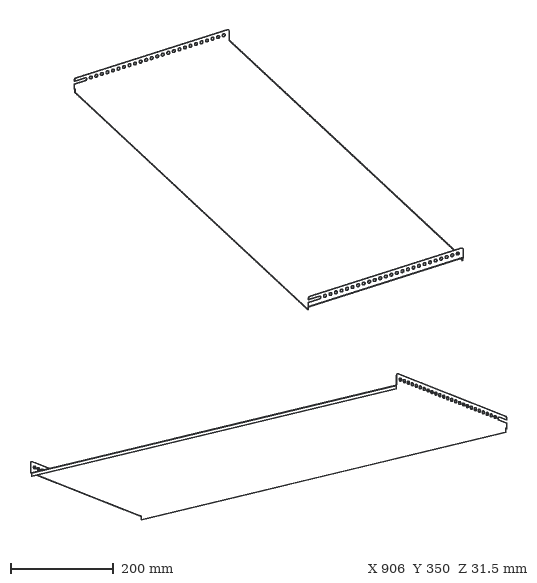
import cadquery as cq

length = 906.0
depth = 350.0
thickness = 1.5

side_bend_radius = 1.0
lip_bend_radius = 0.5
side_outer_radius = side_bend_radius + thickness
lip_outer_radius = lip_bend_radius + thickness

side_flange_height = 25.0
lip_height = 8.0
side_corner_radius = 5.0

sheet_length = length - 2 * side_outer_radius

hole_diameter = 6.5
hole_pitch = 12.5
hole_count = 25
hole_drop = 10.0
first_hole_y = depth / 2 - hole_pitch
slot_end_y = first_hole_y - hole_count * hole_pitch

sheet_top = lip_height
sheet_bottom = sheet_top - thickness
part_top = sheet_bottom + side_flange_height
hole_z = part_top - hole_drop


def box_between(x_range, y_range, z_range):
    """Box spanning the given (low, high) ranges."""
    size = [high - low for low, high in (x_range, y_range, z_range)]
    corner = (x_range[0], y_range[0], z_range[0])
    return cq.Workplane("XY").box(*size, centered=False).translate(corner)


def sheet_with_lips():
    """Flat sheet with the front and rear lips bent down."""
    half_length = sheet_length / 2
    half_depth = depth / 2
    outside = box_between((-half_length, half_length), (-half_depth, half_depth), (0, sheet_top))
    outside = outside.edges("|X and >Z").fillet(lip_outer_radius)
    inner_half = half_depth - thickness
    inside = box_between((-length, length), (-inner_half, inner_half), (-sheet_top, sheet_bottom))
    inside = inside.edges("|X and >Z").fillet(lip_bend_radius)
    return outside.cut(inside)


def side_flange():
    """Right-hand flange bent up from the end of the sheet."""
    bend_start = sheet_length / 2
    outer_face = length / 2
    inner_face = outer_face - thickness
    half_depth = depth / 2
    bend_top = sheet_bottom + side_outer_radius
    profile = (
        cq.Workplane("XZ")
        .moveTo(bend_start, sheet_bottom)
        .radiusArc((outer_face, bend_top), -side_outer_radius)
        .lineTo(outer_face, part_top)
        .lineTo(inner_face, part_top)
        .lineTo(inner_face, bend_top)
        .radiusArc((bend_start, sheet_top), side_bend_radius)
        .close()
    )
    flange = profile.extrude(half_depth, both=True)
    return flange.edges("|X and >Z").fillet(side_corner_radius)


def hole_cutters():
    """Holes and open slot, running through both side flanges."""
    centres = [(first_hole_y - i * hole_pitch, hole_z) for i in range(hole_count + 1)]
    hole_radius = hole_diameter / 2
    holes = cq.Workplane("YZ").pushPoints(centres).circle(hole_radius).extrude(length, both=True)
    slot = box_between((-length, length), (-depth, slot_end_y), (hole_z - hole_radius, hole_z + hole_radius))
    return holes.union(slot)


right_flange = side_flange()
left_flange = right_flange.mirror("YZ")
result = sheet_with_lips().union(right_flange).union(left_flange).cut(hole_cutters())